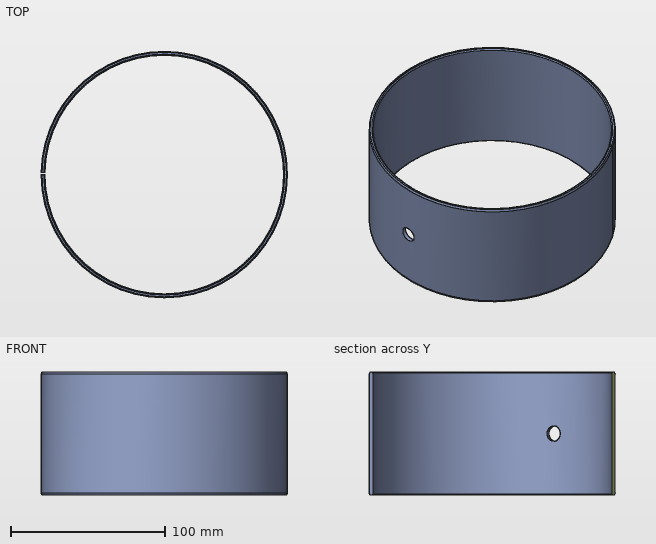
import cadquery as cq

outer_diameter = 160.0
outer_radius = outer_diameter / 2
length = outer_diameter / 2
wall = 2.5
inner_radius = outer_radius - wall

outer_chamfer_height = 1.5
outer_chamfer_depth = 0.6
inner_chamfer = 0.8

joint_gap = 1.3

hole_diameter = 10.0
hole_angle = 59.0
hole_height = length / 2


def make_sleeve():
    """Revolve the chamfered wall section about Z, bottom end at Z = 0."""
    section = [
        (inner_radius + inner_chamfer, 0),
        (outer_radius - outer_chamfer_depth, 0),
        (outer_radius, outer_chamfer_height),
        (outer_radius, length - outer_chamfer_height),
        (outer_radius - outer_chamfer_depth, length),
        (inner_radius + inner_chamfer, length),
        (inner_radius, length - inner_chamfer),
        (inner_radius, inner_chamfer),
    ]
    return cq.Workplane("XZ").polyline(section).close().revolve(360, (0, 0), (0, 1))


def make_joint_cutter():
    """Narrow full-height slab that opens the wall on the -X side."""
    return (
        cq.Workplane("XY")
        .box(outer_radius, joint_gap, length, centered=(True, False, False))
        .translate((-outer_radius, 0, 0))
    )


def make_hole_cutter():
    """Cylinder from the axis outward through one side of the wall."""
    return (
        cq.Workplane("YZ")
        .center(0, hole_height)
        .circle(hole_diameter / 2)
        .extrude(outer_diameter)
        .rotate((0, 0, 0), (0, 0, 1), hole_angle)
    )


result = make_sleeve().cut(make_joint_cutter()).cut(make_hole_cutter())